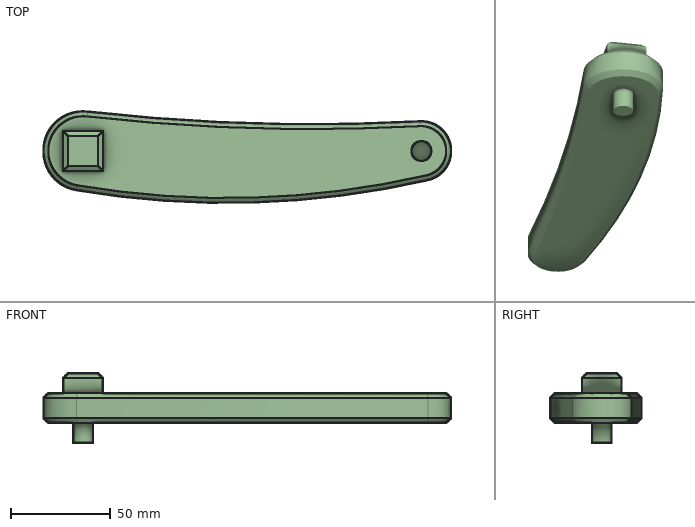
import cadquery as cq
import math

end_spacing = 170.0
hub_radius = 20.0
tip_radius = 15.0
belly_radius = 450.0
waist_radius = 1000.0
arm_thickness = 15.0
edge_chamfer = 2.5

block_side = 20.0
block_height = 10.0

peg_diameter = 10.0
peg_length = 10.0
socket_depth = peg_length


def arc_center(hub_distance, tip_distance):
    """Point on the +Y side at the given distances from the hub and tip centres."""
    x = (hub_distance**2 - tip_distance**2 + end_spacing**2) / (2 * end_spacing)
    y = math.sqrt(hub_distance**2 - x**2)
    return x, y


def point_toward(start, target, distance):
    """Point lying the given distance from start on the line to target (negative is away from it)."""
    dx = target[0] - start[0]
    dy = target[1] - start[1]
    ratio = distance / math.hypot(dx, dy)
    return start[0] + dx * ratio, start[1] + dy * ratio


def make_arm():
    hub = (0.0, 0.0)
    tip = (end_spacing, 0.0)

    waist = arc_center(waist_radius + hub_radius, waist_radius + tip_radius)
    belly = arc_center(belly_radius - hub_radius, belly_radius - tip_radius)

    hub_upper = point_toward(hub, waist, hub_radius)
    tip_upper = point_toward(tip, waist, tip_radius)
    hub_lower = point_toward(hub, belly, -hub_radius)
    tip_lower = point_toward(tip, belly, -tip_radius)
    waist_middle = (waist[0], waist[1] - waist_radius)
    belly_middle = (belly[0], belly[1] - belly_radius)

    return (
        cq.Workplane("XY")
        .moveTo(*hub_upper)
        .threePointArc(waist_middle, tip_upper)
        .threePointArc((end_spacing + tip_radius, 0), tip_lower)
        .threePointArc(belly_middle, hub_lower)
        .threePointArc((-hub_radius, 0), hub_upper)
        .close()
        .extrude(arm_thickness)
        .faces("<Z or >Z")
        .chamfer(edge_chamfer)
    )


def make_drive_block():
    return (
        cq.Workplane("XY", origin=(0, 0, arm_thickness))
        .rect(block_side, block_side)
        .extrude(block_height)
        .faces(">Z")
        .chamfer(edge_chamfer)
    )


def make_peg():
    return cq.Workplane("XY").circle(peg_diameter / 2).extrude(-peg_length)


def make_socket():
    return (
        cq.Workplane("XY", origin=(end_spacing, 0, arm_thickness))
        .circle(peg_diameter / 2)
        .extrude(-socket_depth)
    )


result = make_arm().union(make_drive_block()).union(make_peg()).cut(make_socket())